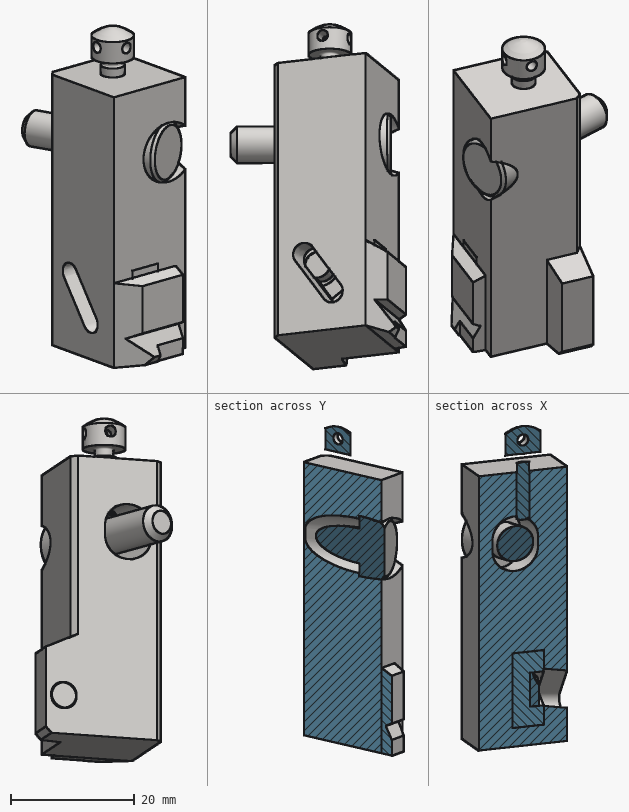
import cadquery as cq
import math


BLOCK_LEFT = -7.1
BLOCK_RIGHT = 9.1
BLOCK_HALF_DEPTH = 7.75
BLOCK_HEIGHT = 46.45
EDGE_CHAMFER = 1.0
FLANGE_BACK = 12.25
FLANGE_RIGHT_AT_BACK = -1.6
FLANGE_DRAFT = 10.0
FLANGE_BACK_HEIGHT = 14.25
FLANGE_TOP_SLOPE = 24.5

SCREW_TOP = 54.45
HEAD_RADIUS = 3.5
HEAD_BASE = 49.4
HEAD_RIM = 53.05
DOME_RADIUS = 2.5
DOME_BASE = 53.7
DOME_BULGE = (1.5, 54.2)
CROWN_RADIUS = 0.5
CROSS_HOLE_DIAMETER = 1.8
CROSS_HOLE_HEIGHT = 51.75
SHANK_RADIUS = 1.95
SHANK_SHOULDER = 47.95
NECK_RADIUS = 1.5
NECK_FILLET = 0.25
TIP_CHAMFER = 0.25
TIP_GAP = 0.85

PLUNGER_ANGLE = 20.0
PLUNGER_START = (-15.4, -4.85, 34.35)
ROD_RADIUS = 3.0
ROD_CHAMFER = 1.1
PLUNGER_LENGTH = 26.0
PLUNGER_HEAD_RADIUS = 5.05
PLUNGER_HEAD_LENGTH = 5.0
PLUNGER_HEAD_CHAMFER = 0.55
PASSAGE_WIDTH = 7.4
PASSAGE_HEIGHT = 9.15

WINDOW_TOP = (-1.7, 13.45)
WINDOW_BOTTOM = (3.3, 6.35)
WINDOW_WIDTH = 3.6
WINDOW_DEPTH = 4.1
WINDOW_DRIFT = 0.45

JAW_FACE = 11.2
JAW_TIP = 12.1
JAW_BACK = 5.6
JAW_FACE_BACK = 5.35
HOOK_BACK = -0.1
HOOK_TIP_BACK = -0.25
HOOK_TIP_FRONT = -1.6
JAW_TOP = 14.55
JAW_FACE_TOP = 13.6
NOTCH_TOP = 5.5
NOTCH_BOTTOM = (9.95, 4.85)
HOOK_TIP_HEIGHT = 1.25
HOOK_TOE = 11.4
TONGUE_LEFT = -4.35
TONGUE_BASE = 3.25
TONGUE_HEIGHT = 12.5
TONGUE_THICKNESS = 5.45

KEY_LENGTH = 6.3
KEY_WIDTH = 3.25
KEY_THICKNESS = 1.65
KEY_SINK = 0.75
KEY_FLARE_RADIUS = 3.45

GUIDE_PIN_RADIUS = 2.25
GUIDE_PIN_CENTRE = (-0.65, 12.6)
GUIDE_PIN_INSET = 3.8
DOWEL_RADIUS = 2.2
DOWEL_CENTRE = (9.15, 6.4)
DOWEL_LENGTH = 4.35
DOWEL_CHAMFER = 0.1

FRONT = -BLOCK_HALF_DEPTH
TONGUE_FRONT = FRONT + WINDOW_DEPTH
TONGUE_BACK = TONGUE_FRONT + TONGUE_THICKNESS
KEY_FRONT = TONGUE_FRONT + KEY_SINK
WINDOW_TILT = math.degrees(math.atan2(WINDOW_BOTTOM[1] - WINDOW_TOP[1], WINDOW_BOTTOM[0] - WINDOW_TOP[0]))


def prism_along_y(points, y_start, y_end):
    """Closed X-Z outline extruded from y_start to y_end."""
    plane = cq.Workplane("XZ", origin=(0, y_start, 0))
    return plane.polyline(points).close().extrude(y_start - y_end)


def along_plunger(distance):
    """Plane square to the plunger axis, at a distance from the rod's free end."""
    turn = math.radians(PLUNGER_ANGLE)
    axis = cq.Vector(math.cos(turn), math.sin(turn), 0)
    across = cq.Vector(-math.sin(turn), math.cos(turn), 0)
    return cq.Workplane(cq.Plane(cq.Vector(*PLUNGER_START) + axis * distance, across, axis))


def make_screw():
    tip = PLUNGER_START[2] + ROD_RADIUS + TIP_GAP
    bend = NECK_FILLET * (1 - math.sqrt(0.5))
    profile = (
        cq.Workplane("XZ")
        .moveTo(0, tip)
        .lineTo(SHANK_RADIUS - TIP_CHAMFER, tip)
        .lineTo(SHANK_RADIUS, tip + TIP_CHAMFER)
        .lineTo(SHANK_RADIUS, SHANK_SHOULDER)
        .lineTo(NECK_RADIUS + NECK_FILLET, SHANK_SHOULDER)
        .threePointArc(
            (NECK_RADIUS + bend, SHANK_SHOULDER + bend),
            (NECK_RADIUS, SHANK_SHOULDER + NECK_FILLET),
        )
        .lineTo(NECK_RADIUS, HEAD_BASE - NECK_FILLET)
        .threePointArc(
            (NECK_RADIUS + bend, HEAD_BASE - bend),
            (NECK_RADIUS + NECK_FILLET, HEAD_BASE),
        )
        .lineTo(HEAD_RADIUS, HEAD_BASE)
        .lineTo(HEAD_RADIUS, HEAD_RIM)
        .lineTo(DOME_RADIUS, DOME_BASE)
        .threePointArc(DOME_BULGE, (CROWN_RADIUS, SCREW_TOP))
        .lineTo(0, SCREW_TOP)
        .close()
    )
    body = profile.revolve(360, (0, 0, 0), (0, 1, 0))
    for plane in ("XZ", "YZ"):
        hole = cq.Workplane(plane, origin=(0, 0, CROSS_HOLE_HEIGHT)).circle(CROSS_HOLE_DIAMETER / 2)
        body = body.cut(hole.extrude(HEAD_RADIUS, both=True))
    return body


def make_screw_bore():
    """Bore from the plunger's axis up through the top of the housing."""
    base = PLUNGER_START[2]
    return cq.Workplane("XY", origin=(0, 0, base)).circle(SHANK_RADIUS).extrude(BLOCK_HEIGHT - base)


def make_plunger():
    head_start = PLUNGER_LENGTH - PLUNGER_HEAD_LENGTH
    rod = along_plunger(0).circle(ROD_RADIUS).extrude(head_start).faces("<X").chamfer(ROD_CHAMFER)
    head = along_plunger(head_start).circle(PLUNGER_HEAD_RADIUS).extrude(PLUNGER_HEAD_LENGTH)
    return rod.union(head.faces(">X").chamfer(PLUNGER_HEAD_CHAMFER))


def make_plunger_passage():
    """Upright oblong passage for the rod, opening into a round pocket for the head."""
    head_start = PLUNGER_LENGTH - PLUNGER_HEAD_LENGTH
    passage = along_plunger(0).slot2D(PASSAGE_HEIGHT, PASSAGE_WIDTH, 90).extrude(head_start)
    pocket = along_plunger(head_start).circle(PLUNGER_HEAD_RADIUS).extrude(2 * PLUNGER_HEAD_LENGTH)
    return passage.union(pocket)


def make_guide_pin():
    x, z = GUIDE_PIN_CENTRE
    start = FRONT + GUIDE_PIN_INSET
    pin = cq.Workplane("XZ", origin=(x, start, z)).circle(GUIDE_PIN_RADIUS)
    return pin.extrude(start - TONGUE_BACK)


def make_window():
    """Oblong window that drifts sideways, square to its length, as it goes in."""
    run = cq.Vector(WINDOW_BOTTOM[0] - WINDOW_TOP[0], 0, WINDOW_BOTTOM[1] - WINDOW_TOP[1])
    middle = cq.Vector(WINDOW_TOP[0], FRONT, WINDOW_TOP[1]) + run / 2
    outline = (
        cq.Workplane("XZ", origin=middle.toTuple())
        .slot2D(run.Length + WINDOW_WIDTH, WINDOW_WIDTH, WINDOW_TILT)
        .wires()
        .val()
    )
    drift = cq.Vector(-run.z, 0, run.x).normalized() * WINDOW_DRIFT
    return cq.Workplane(cq.Solid.extrudeLinear(outline, [], drift + cq.Vector(0, WINDOW_DEPTH, 0)))


def make_key_block(front):
    """Block on the window's slope, from the guide pin's centre outward, ending at the bed of the key."""
    x, z = GUIDE_PIN_CENTRE
    return (
        cq.Workplane("XZ", origin=(x, front, z))
        .transformed(rotate=(0, 0, WINDOW_TILT))
        .center(KEY_LENGTH / 2, 0)
        .rect(KEY_LENGTH, KEY_WIDTH)
        .extrude(front - KEY_FRONT - KEY_THICKNESS)
    )


def make_key(guide_pin):
    x, z = GUIDE_PIN_CENTRE
    flare_depth = KEY_FLARE_RADIUS - GUIDE_PIN_RADIUS
    flare = cq.Solid.makeCone(
        KEY_FLARE_RADIUS, GUIDE_PIN_RADIUS, flare_depth, cq.Vector(x, KEY_FRONT, z), cq.Vector(0, 1, 0)
    )
    return make_key_block(KEY_FRONT).cut(guide_pin).cut(cq.Workplane(flare))


def make_tongue():
    length = BLOCK_RIGHT - TONGUE_LEFT
    corner = cq.Vector(TONGUE_LEFT, TONGUE_FRONT, TONGUE_BASE)
    return cq.Workplane(cq.Solid.makeBox(length, TONGUE_THICKNESS, TONGUE_HEIGHT, corner))


def make_jaw(guide_pin):
    side_outline = [
        (BLOCK_RIGHT, 0),
        (HOOK_TOE, 0),
        (JAW_TIP, HOOK_TIP_HEIGHT),
        NOTCH_BOTTOM,
        (JAW_FACE, NOTCH_TOP),
        (JAW_FACE, JAW_FACE_TOP),
        (BLOCK_RIGHT, JAW_TOP),
    ]
    plan_outline = [
        (BLOCK_RIGHT, FRONT),
        (JAW_TIP, HOOK_TIP_FRONT),
        (JAW_TIP, HOOK_TIP_BACK),
        (JAW_FACE, HOOK_BACK),
        (JAW_FACE, JAW_FACE_BACK),
        (BLOCK_RIGHT, JAW_BACK),
    ]
    plan = cq.Workplane("XY").polyline(plan_outline).close().extrude(JAW_TOP)
    head = prism_along_y(side_outline, FRONT, JAW_BACK).intersect(plan)
    return head.union(make_tongue()).cut(guide_pin).cut(make_key_block(TONGUE_FRONT))


def make_dowel_blank():
    y, z = DOWEL_CENTRE
    return cq.Workplane("YZ", origin=(BLOCK_LEFT, y, z)).circle(DOWEL_RADIUS).extrude(DOWEL_LENGTH)


def make_dowel():
    return make_dowel_blank().faces("<X").chamfer(DOWEL_CHAMFER)


def make_flange():
    """Side flange with a sloping top, a cut lower corner and a drafted right side."""
    root = BLOCK_HALF_DEPTH - EDGE_CHAMFER
    reach = FLANGE_BACK - root
    rise = reach * math.tan(math.radians(FLANGE_TOP_SLOPE))
    draft = reach * math.tan(math.radians(FLANGE_DRAFT))
    side_outline = [
        (root, 0),
        (FLANGE_BACK - EDGE_CHAMFER, 0),
        (FLANGE_BACK, EDGE_CHAMFER),
        (FLANGE_BACK, FLANGE_BACK_HEIGHT),
        (root, FLANGE_BACK_HEIGHT + rise),
    ]
    plan_outline = [
        (BLOCK_LEFT, root),
        (FLANGE_RIGHT_AT_BACK + draft, root),
        (FLANGE_RIGHT_AT_BACK, FLANGE_BACK),
        (BLOCK_LEFT, FLANGE_BACK),
    ]
    side = cq.Workplane("YZ", origin=(BLOCK_LEFT, 0, 0)).polyline(side_outline).close()
    plan = cq.Workplane("XY").polyline(plan_outline).close().extrude(BLOCK_HEIGHT)
    return side.extrude(BLOCK_RIGHT - BLOCK_LEFT).intersect(plan)


def make_housing(guide_pin):
    width = BLOCK_RIGHT - BLOCK_LEFT
    corner = cq.Vector(BLOCK_LEFT, FRONT, 0)
    block = cq.Workplane(cq.Solid.makeBox(width, 2 * BLOCK_HALF_DEPTH, BLOCK_HEIGHT, corner))
    housing = block.edges("|Z and <X").chamfer(EDGE_CHAMFER).union(make_flange())
    fitted = (make_plunger_passage(), make_screw_bore(), make_window(), make_tongue())
    for hollow in (*fitted, guide_pin, make_dowel_blank()):
        housing = housing.cut(hollow)
    return housing


guide_pin = make_guide_pin()
housing = make_housing(guide_pin)
screw = make_screw()
plunger = make_plunger()
jaw = make_jaw(guide_pin)
key = make_key(guide_pin)
dowel = make_dowel()

result = cq.Compound.makeCompound(
    [
        housing.val(),
        screw.val(),
        plunger.val(),
        jaw.val(),
        key.val(),
        guide_pin.val(),
        dowel.val(),
    ]
)